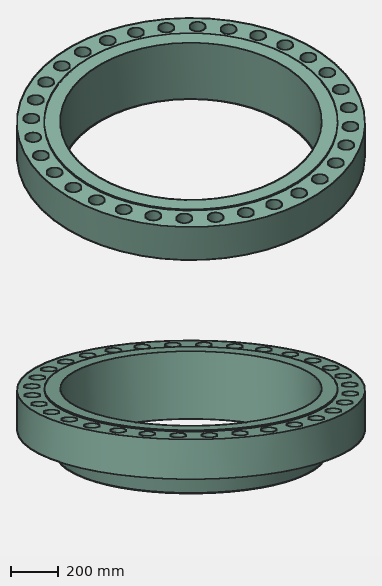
import cadquery as cq
import math

flange_diameter = 1454.15
overall_height = 295.27
bore_diameter = 1092.2

plate_thickness = 173.04
raised_face_diameter = 1225.55
raised_face_height = 6.35

bolt_circle_diameter = 1333.5
bolt_hole_diameter = 66.675
bolt_count = 32

hub_base_diameter = 1179.0
hub_end_wall = 15.875
hub_fillet_radius = 16.0

weld_land_thickness = 3.0
weld_bevel_angle = 30.0

plate_top = overall_height - raised_face_height
plate_bottom = plate_top - plate_thickness
weld_bevel_height = (hub_end_wall - weld_land_thickness) * math.tan(math.radians(weld_bevel_angle))

bore_radius = bore_diameter / 2
hub_base_radius = hub_base_diameter / 2
hub_end_radius = bore_radius + hub_end_wall
weld_land_radius = bore_radius + weld_land_thickness


def make_disc(diameter, bottom, height):
    """Solid disc on the flange axis."""
    return cq.Workplane("XY").workplane(offset=bottom).circle(diameter / 2).extrude(height)


def make_hub():
    """Cone under the plate, bevelled at its narrow end for welding."""
    return (
        cq.Workplane("XZ")
        .lineTo(weld_land_radius, 0)
        .lineTo(hub_end_radius, weld_bevel_height)
        .lineTo(hub_base_radius, plate_bottom)
        .lineTo(0, plate_bottom)
        .close()
        .revolve(360, (0, 0, 0), (0, 1, 0))
    )


def fillet_hub_root(body):
    """Round the inside corner where the hub meets the plate."""
    cone_circles = body.faces("%CONE").edges("%CIRCLE")
    largest_circle = cq.selectors.RadiusNthSelector(-1)
    return cone_circles.edges(largest_circle).fillet(hub_fillet_radius)


def make_bolt_holes():
    """Evenly spaced cutters through the plate, the first one on the +X axis."""
    return (
        cq.Workplane("XY")
        .workplane(offset=plate_bottom)
        .polarArray(bolt_circle_diameter / 2, 0, 360, bolt_count)
        .circle(bolt_hole_diameter / 2)
        .extrude(plate_thickness)
    )


plate = make_disc(flange_diameter, plate_bottom, plate_thickness)
raised_face = make_disc(raised_face_diameter, plate_top, raised_face_height)
bore = make_disc(bore_diameter, 0, overall_height)

body = fillet_hub_root(plate.union(make_hub()))
result = body.union(raised_face).cut(bore).cut(make_bolt_holes())